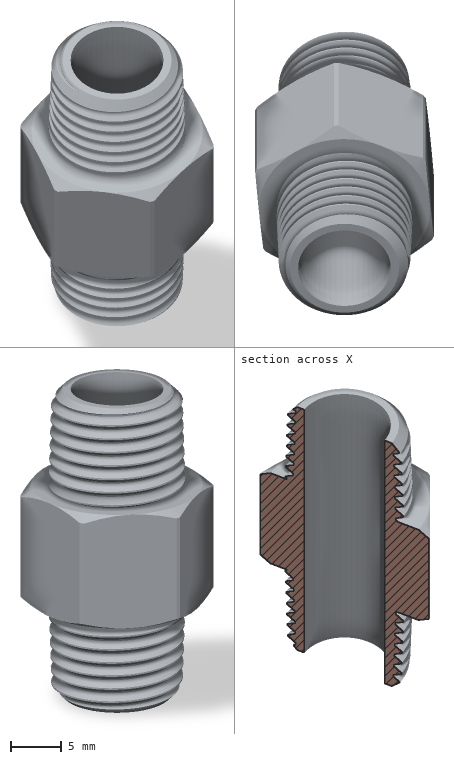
import cadquery as cq
import math

HEX_SIDES = 6
HEX_ACROSS_FLATS = 17.07
HEX_ACROSS_CORNERS = 19.45
HEX_HEIGHT = 12.14
HEX_CHAMFER_ANGLE = 30.0

OVERALL_LENGTH = 32.54
BORE_DIAMETER = 9.25
MM_PER_INCH = 25.4
THREADS_PER_INCH = 18
CREST_RADIUS_AT_HEX = 6.85
TIP_RADIUS = 5.44
TAPER_ON_RADIUS = 1 / 32
GROOVE_START = -0.97

PITCH = MM_PER_INCH / THREADS_PER_INCH
FLANK_HALF_ANGLE = 30.0
HALF_FLANK_TAN = math.tan(math.radians(FLANK_HALF_ANGLE))
THREAD_DEPTH = 0.75 * (PITCH / 2) / HALF_FLANK_TAN
ROOT_FLAT = PITCH / 8
GROOVE_CLEARANCE = 0.05
ROD_OVERRUN = 2.0
ENVELOPE_CLEARANCE = 0.5

STUB_LENGTH = (OVERALL_LENGTH - HEX_HEIGHT) / 2


def crest_radius(height):
    """Crest radius of a stub at a height above its tip."""
    return CREST_RADIUS_AT_HEX - TAPER_ON_RADIUS * (STUB_LENGTH - height)


def make_hex_body():
    """Hexagon trimmed to a round blank that is chamfered at both ends."""
    blank_radius = HEX_ACROSS_CORNERS / 2
    face_radius = HEX_ACROSS_FLATS / 2
    half_height = HEX_HEIGHT / 2
    chamfer_drop = (blank_radius - face_radius) * math.tan(math.radians(HEX_CHAMFER_ANGLE))
    shoulder = half_height - chamfer_drop
    blank = (
        cq.Workplane("XZ")
        .moveTo(0, -half_height)
        .lineTo(face_radius, -half_height)
        .lineTo(blank_radius, -shoulder)
        .lineTo(blank_radius, shoulder)
        .lineTo(face_radius, half_height)
        .lineTo(0, half_height)
        .close()
        .revolve(360, (0, 0), (0, 1))
    )
    half_side_angle = 180 / HEX_SIDES
    corner_diameter = HEX_ACROSS_FLATS / math.cos(math.radians(half_side_angle))
    hexagon = (
        cq.Workplane("XY", origin=(0, 0, -half_height))
        .polygon(HEX_SIDES, corner_diameter)
        .extrude(HEX_HEIGHT)
        .rotate((0, 0, 0), (0, 0, 1), half_side_angle)
    )
    return hexagon.intersect(blank)


def make_tapered_rod():
    """Solid cone frustum through the crests, longer than the groove at both ends."""
    bottom = GROOVE_START - ROD_OVERRUN
    top = STUB_LENGTH + PITCH + ROD_OVERRUN
    return (
        cq.Workplane("XZ")
        .moveTo(0, bottom)
        .lineTo(crest_radius(bottom), bottom)
        .lineTo(crest_radius(top), top)
        .lineTo(0, top)
        .close()
        .revolve(360, (0, 0), (0, 1))
    )


def make_stub_envelope():
    """Space that a stub may fill: its length, with the 45 degree lead-in chamfer at the tip."""
    envelope_radius = CREST_RADIUS_AT_HEX + ENVELOPE_CLEARANCE
    return (
        cq.Workplane("XZ")
        .lineTo(TIP_RADIUS, 0)
        .lineTo(envelope_radius, envelope_radius - TIP_RADIUS)
        .lineTo(envelope_radius, STUB_LENGTH)
        .lineTo(0, STUB_LENGTH)
        .close()
        .revolve(360, (0, 0), (0, 1))
    )


def make_thread_groove():
    """Tapered right-hand helical groove that runs past both ends of a stub."""
    taper_angle = math.degrees(math.atan(TAPER_ON_RADIUS))
    start_radius = crest_radius(GROOVE_START)
    groove_length = STUB_LENGTH - GROOVE_START + PITCH
    helix = cq.Wire.makeHelix(
        PITCH, groove_length, start_radius, cq.Vector(0, 0, GROOVE_START), angle=taper_angle
    )
    root_radius = start_radius - THREAD_DEPTH
    outer_radius = start_radius + GROOVE_CLEARANCE
    half_root = ROOT_FLAT / 2
    half_mouth = half_root + (outer_radius - root_radius) * HALF_FLANK_TAN
    return (
        cq.Workplane("XZ")
        .moveTo(root_radius, GROOVE_START + half_root)
        .lineTo(outer_radius, GROOVE_START + half_mouth)
        .lineTo(outer_radius, GROOVE_START - half_mouth)
        .lineTo(root_radius, GROOVE_START - half_root)
        .close()
        .sweep(cq.Workplane(obj=helix), isFrenet=True)
    )


stub = make_tapered_rod().cut(make_thread_groove()).intersect(make_stub_envelope())
lower_stub = stub.translate((0, 0, -OVERALL_LENGTH / 2))
upper_stub = lower_stub.rotate((0, 0, 0), (0, 1, 0), 180)
bore = cq.Workplane("XY").circle(BORE_DIAMETER / 2).extrude(OVERALL_LENGTH / 2, both=True)

result = make_hex_body().union(lower_stub).union(upper_stub).cut(bore)